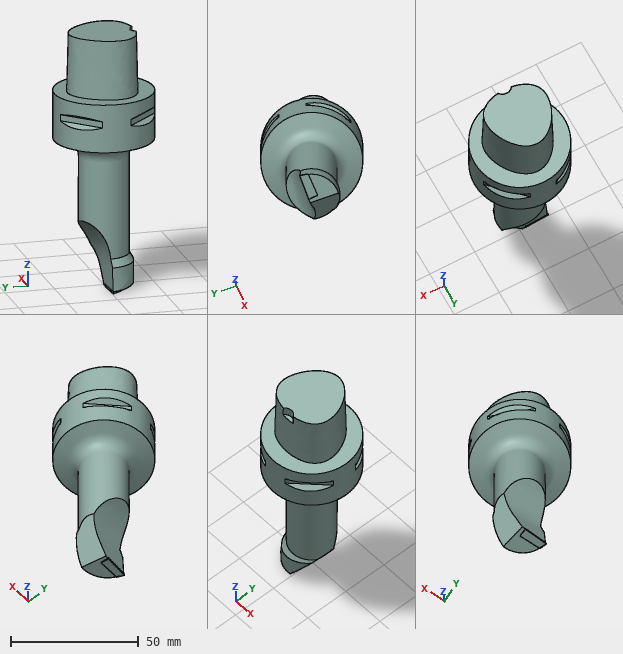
import cadquery as cq
import math

total_height = 104.0
flange_top_z = 80.1
flange_rim_z = 60.5
flare_top_z = 13.5
flare_bottom_z = 10.4

flange_radius = 40.0 / 2
shaft_radius = 20.0 / 2
underside_angle = math.radians(15)
neck_fillet = 5.8

shank_base_radius = 13.9
shank_lobe = 0.8
shank_taper = 1 / 40

notch_radius = 3.4
notch_inner_y = -10.7
notch_depth = 4.2

slot_count = 4
slot_first_angle = 45
slot_z = 72.0
slot_depth = 2.4
slot_floor_height = 2.5
slot_mouth_height = 5.3
slot_length = 2 * flange_radius

flank_top_radius = 11.9
flank_bottom_radius = 12.5
head_radius = 11.4
head_offset_x = -1.0
bottom_front_z = 0.4
bottom_slope = 0.12
diagonal_foot_x = -1.4
diagonal_top_z = 15.1

pocket_floor_y = 0.3
pocket_floor_z = 7.8
pocket_radius = 23.9
pocket_arc_angle = math.radians(65)
pocket_fall = 0.35
pocket_skew = 0.05

insert_left_x = -13.1
insert_right_x = -2.6
insert_back_left_x = -12.1
insert_back_y = -3.6
insert_top_z = 0.9
insert_back_height = 0.2

reach = 31.2


def make_revolved_profile():
    """Flange, filleted neck, shaft and flared head about the Z axis."""
    fillet_end_x = shaft_radius + neck_fillet * (1 - math.sin(underside_angle))
    fillet_end_z = flange_rim_z - (flange_radius - fillet_end_x) * math.tan(underside_angle)
    fillet_start_z = fillet_end_z - neck_fillet * math.cos(underside_angle)
    middle_angle = (math.pi / 2 - underside_angle) / 2
    fillet_middle = (
        shaft_radius + neck_fillet * (1 - math.cos(middle_angle)),
        fillet_start_z + neck_fillet * math.sin(middle_angle),
    )
    flank_slope = (flank_bottom_radius - flank_top_radius) / (flare_bottom_z - insert_top_z)
    return (
        cq.Workplane("XZ")
        .moveTo(0, 0)
        .lineTo(flank_top_radius + flank_slope * flare_bottom_z, 0)
        .lineTo(flank_top_radius, flare_bottom_z)
        .lineTo(shaft_radius, flare_top_z)
        .lineTo(shaft_radius, fillet_start_z)
        .threePointArc(fillet_middle, (fillet_end_x, fillet_end_z))
        .lineTo(flange_radius, flange_rim_z)
        .lineTo(flange_radius, flange_top_z)
        .lineTo(0, flange_top_z)
        .close()
        .revolve(360, (0, 0, 0), (0, 1, 0))
    )


def trilobe_wire(mean_radius, z):
    """Closed three-lobed curve with one lobe pointing to +Y."""
    def point(t):
        angle = 2 * math.pi * t
        return (
            mean_radius * math.sin(angle) + shank_lobe * math.sin(2 * angle),
            -mean_radius * math.cos(angle) + shank_lobe * math.cos(2 * angle),
        )

    return cq.Workplane("XY").workplane(offset=z).parametricCurve(point).val()


def make_shank():
    height = total_height - flange_top_z
    top_radius = shank_base_radius - height * shank_taper
    base = trilobe_wire(shank_base_radius, flange_top_z)
    top = trilobe_wire(top_radius, total_height)
    shank = cq.Workplane(obj=cq.Solid.makeLoft([base, top]))
    notch = (
        cq.Workplane("XY")
        .workplane(offset=total_height - notch_depth)
        .center(0, notch_inner_y - notch_radius)
        .circle(notch_radius)
        .extrude(notch_depth)
    )
    return shank.cut(notch)


def make_gripper_slot(angle):
    """Straight slot with sloping sides, cut into the flange rim."""
    floor_x = flange_radius - slot_depth
    return (
        cq.Workplane("XZ")
        .moveTo(floor_x, slot_z - slot_floor_height / 2)
        .lineTo(flange_radius, slot_z - slot_mouth_height / 2)
        .lineTo(flange_radius, slot_z + slot_mouth_height / 2)
        .lineTo(floor_x, slot_z + slot_floor_height / 2)
        .close()
        .extrude(slot_length / 2, both=True)
        .rotate((0, 0, 0), (0, 0, 1), angle)
    )


def make_head_trim():
    """Material outside the head's offset cylinder, below the flare."""
    return (
        cq.Workplane("XY")
        .rect(2 * reach, 2 * reach)
        .extrude(flare_top_z)
        .cut(
            cq.Workplane("XY")
            .center(head_offset_x, 0)
            .circle(head_radius)
            .extrude(flare_top_z)
        )
    )


def make_bottom_trim():
    """Wedge that leaves the head's bottom rising towards -Y."""
    return (
        cq.Workplane("YZ")
        .moveTo(reach, bottom_front_z - bottom_slope * reach)
        .lineTo(-reach, bottom_front_z + bottom_slope * reach)
        .lineTo(-reach, -reach)
        .lineTo(reach, -reach)
        .close()
        .extrude(reach, both=True)
    )


def make_diagonal_trim():
    """Wedge that slants the +X side of the head and the shaft's end."""
    slope = diagonal_top_z / (shaft_radius - diagonal_foot_x)
    return (
        cq.Workplane("XZ")
        .moveTo(diagonal_foot_x - reach / slope, -reach)
        .lineTo(diagonal_foot_x + reach / slope, reach)
        .lineTo(2 * reach, reach)
        .lineTo(2 * reach, -reach)
        .close()
        .extrude(reach, both=True)
    )


def make_chip_pocket():
    """Upright floor blending through a large arc out to the +Y side."""
    def arc_point(angle):
        return (
            pocket_floor_y + pocket_radius * (1 - math.cos(angle)),
            pocket_floor_z + pocket_radius * math.sin(angle),
        )

    arc_end = arc_point(pocket_arc_angle)
    start_x = -reach
    start = cq.Vector(start_x, pocket_skew * start_x, -pocket_fall * start_x)
    profile = (
        cq.Workplane("YZ")
        .moveTo(pocket_floor_y, -reach)
        .lineTo(pocket_floor_y, pocket_floor_z)
        .threePointArc(arc_point(pocket_arc_angle / 2), arc_end)
        .lineTo(arc_end[0], -reach)
        .close()
        .wires()
        .val()
        .translate(start)
    )
    return cq.Workplane(obj=cq.Solid.extrudeLinear(profile, [], start * -2))


def make_insert(pocket):
    """Small wedge-shaped cutting insert, flush with the pocket floor."""
    tip_y = pocket_floor_y + pocket_skew * insert_right_x
    front_y = pocket_floor_y + 1
    outline = (
        cq.Workplane("XY")
        .moveTo(insert_left_x, front_y)
        .lineTo(insert_left_x, pocket_floor_y)
        .lineTo(insert_back_left_x, insert_back_y)
        .lineTo(insert_right_x, insert_back_y)
        .lineTo(insert_right_x, front_y)
        .close()
        .extrude(insert_top_z)
    )
    wedge = (
        cq.Workplane("YZ")
        .moveTo(front_y, insert_top_z)
        .lineTo(insert_back_y, insert_top_z)
        .lineTo(insert_back_y, insert_top_z - insert_back_height)
        .lineTo(tip_y, 0)
        .lineTo(front_y, 0)
        .close()
        .extrude(reach, both=True)
    )
    return outline.intersect(wedge).cut(pocket)


chip_pocket = make_chip_pocket()
insert = make_insert(chip_pocket)

holder = make_revolved_profile().union(make_shank())
for index in range(slot_count):
    holder = holder.cut(make_gripper_slot(slot_first_angle + index * 360 / slot_count))
holder = holder.cut(make_head_trim()).cut(make_bottom_trim())
holder = holder.cut(make_diagonal_trim()).cut(chip_pocket)
holder = holder.cut(insert)

result = cq.Compound.makeCompound([holder.solids().val(), insert.solids().val()])